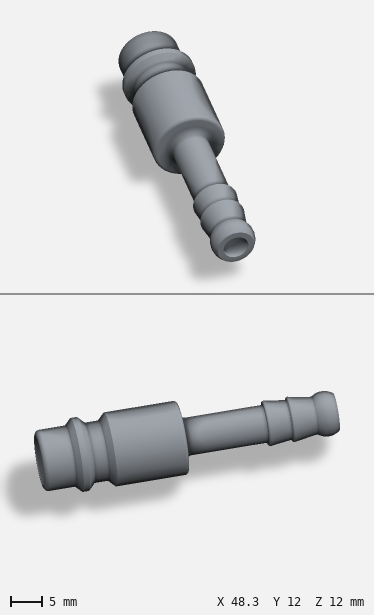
import cadquery as cq
import math

length = 48.3
collar_start = 5.0
collar_width = 1.0
body_cone_end = 11.5
body_end = 23.3
barb_starts = (36.7, 40.6)
barb_ends = (40.48, 44.73)
bulb_start = barb_ends[-1]

body_radius = 12.0 / 2
plug_radius = 9.9 / 2
neck_radius = 9.75 / 2
stem_radius = 6.1 / 2
barb_radius = 7.35 / 2
first_barb_end_radius = 3.25
bulb_radius = 3.65

plug_fillet = 0.75
body_fillet = 0.6
stem_fillet = 1.0
barb_fillet = 0.3

bore_radius = 7.85 / 2
bore_depth = 19.3
passage_radius = 4.1 / 2
bore_cone_half_angle = 59.0

ARC_MIDDLE = math.sqrt(0.5)


def rounded_shoulder(profile, x, radius, size, direction):
    """Add a convex quarter arc ending on, or starting from, a cylinder.

    direction is +1 for a rising left edge and -1 for a falling right edge.
    """
    face_point = (x, radius - size)
    middle = (x + direction * size * (1 - ARC_MIDDLE), radius - size * (1 - ARC_MIDDLE))
    cylinder_point = (x + direction * size, radius)
    if direction > 0:
        return profile.lineTo(*face_point).threePointArc(middle, cylinder_point)
    return profile.lineTo(*cylinder_point).threePointArc(middle, face_point)


def plug_and_body(profile):
    """Trace the plug, the 45-degree collar, the neck and the main body."""
    collar_crest = collar_start + body_radius - plug_radius
    neck_begin = collar_crest + collar_width + body_radius - neck_radius
    neck_end = body_cone_end - (body_radius - neck_radius)
    profile = rounded_shoulder(profile, 0, plug_radius, plug_fillet, 1)
    profile = (
        profile.lineTo(collar_start, plug_radius)
        .lineTo(collar_crest, body_radius)
        .lineTo(collar_crest + collar_width, body_radius)
        .lineTo(neck_begin, neck_radius)
        .lineTo(neck_end, neck_radius)
        .lineTo(body_cone_end, body_radius)
    )
    return rounded_shoulder(profile, body_end, body_radius, body_fillet, -1)


def hose_stem(profile):
    """Trace the filleted stem, the two hose barbs and the rounded tip."""
    fillet_inset = stem_fillet * (1 - ARC_MIDDLE)
    profile = (
        profile.lineTo(body_end, stem_radius + stem_fillet)
        .threePointArc(
            (body_end + fillet_inset, stem_radius + fillet_inset),
            (body_end + stem_fillet, stem_radius),
        )
        .lineTo(barb_starts[0], stem_radius)
    )
    barb_end_radii = (first_barb_end_radius, stem_radius)
    for start, end, end_radius in zip(barb_starts, barb_ends, barb_end_radii):
        profile = rounded_shoulder(profile, start, barb_radius, barb_fillet, 1)
        profile = profile.lineTo(end, end_radius)
    bulb_middle = (bulb_start + length) / 2
    return profile.threePointArc((bulb_middle, bulb_radius), (length, stem_radius))


def bore():
    """Make the wide blind bore, its conical floor and the through passage."""
    cone_length = (bore_radius - passage_radius) / math.tan(math.radians(bore_cone_half_angle))
    return (
        cq.Workplane("XY")
        .lineTo(0, bore_radius)
        .lineTo(bore_depth, bore_radius)
        .lineTo(bore_depth + cone_length, passage_radius)
        .lineTo(length, passage_radius)
        .lineTo(length, 0)
        .close()
        .revolve(360, (0, 0, 0), (1, 0, 0))
    )


outline = hose_stem(plug_and_body(cq.Workplane("XY")))
outer = outline.lineTo(length, 0).close().revolve(360, (0, 0, 0), (1, 0, 0))
result = outer.cut(bore())